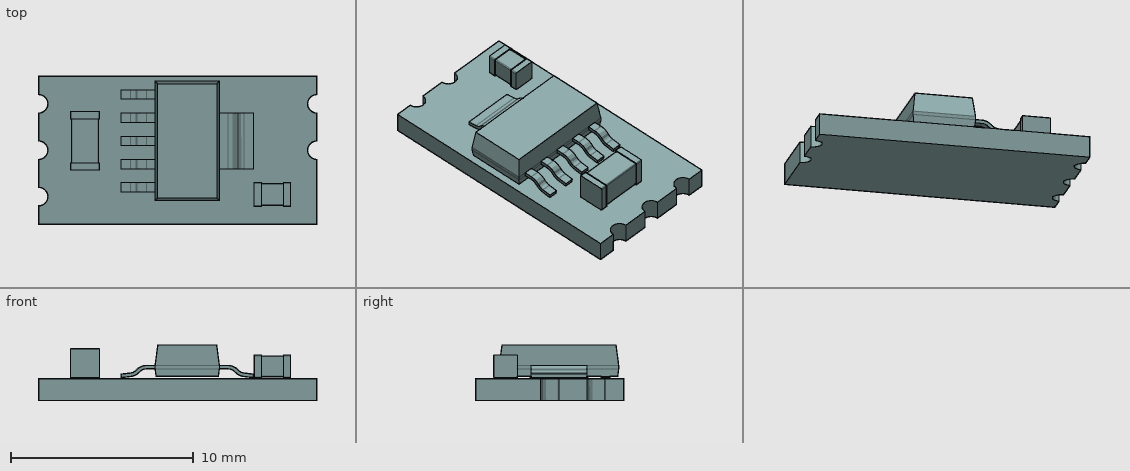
import cadquery as cq
import math

GRID = 2.54

BOARD_LENGTH = 6 * GRID
BOARD_WIDTH = 8.13
BOARD_THICKNESS = 1.2
NOTCH_RADIUS = 0.5
LEFT_NOTCH_ROWS = (-1, 0, 1)
RIGHT_NOTCH_ROWS = (0, 1)

SOLDER_GAP = 0.05
SEAT_Z = BOARD_THICKNESS + SOLDER_GAP

REGULATOR_X = 0.52
REGULATOR_Y = 0.508
REGULATOR_HEIGHT = 1.8
BODY_LENGTH_X = 3.53
BODY_LENGTH_Y = 6.55
BODY_STANDOFF = 0.08
LOWER_TAPER_HEIGHT = 0.4
TAPER_ANGLE = 7.5

LEAD_THICKNESS = 0.2
LEAD_WIDTH = 0.508
LEAD_PITCH = GRID / 2
LEAD_COUNT = 5
TAB_WIDTH = 3.05
BEND_START = 2.23
BEND_RADIUS = 0.63
BEND_ANGLE = 45
RAMP_LENGTH = 0.07
FOOT_ANGLE = 7
FOOT_LENGTH = 0.54

TERMINAL_LENGTH = 0.4
TERMINAL_STEP = 0.05
CHIP_EDGE_RADIUS = 0.05
LARGE_CHIP_LENGTH = 3.2
LARGE_CHIP_WIDTH = 1.6
LARGE_CHIP_HEIGHT = 1.6
LARGE_CHIP_X = -2 * GRID
LARGE_CHIP_Y = REGULATOR_Y
SMALL_CHIP_LENGTH = 2.0
SMALL_CHIP_WIDTH = 1.3
SMALL_CHIP_HEIGHT = 1.25
SMALL_CHIP_X = 5.19
SMALL_CHIP_Y = -2.42


def make_board():
    """Rectangular board with half-round notches along its two short edges."""
    board = cq.Workplane("XY").box(
        BOARD_LENGTH, BOARD_WIDTH, BOARD_THICKNESS, centered=(True, True, False)
    )
    edge_x = BOARD_LENGTH / 2
    notch_centers = [(-edge_x, row * GRID) for row in LEFT_NOTCH_ROWS]
    notch_centers += [(edge_x, row * GRID) for row in RIGHT_NOTCH_ROWS]
    notches = (
        cq.Workplane("XY")
        .pushPoints(notch_centers)
        .circle(NOTCH_RADIUS)
        .extrude(BOARD_THICKNESS)
    )
    return board.cut(notches)


def make_gull_wing(width):
    """Bent strip centred on Y = 0, running from the origin's Z axis towards +X, lead underside at Z = 0.

    It runs flat, curves down around the crest, drops along a short ramp, curves back around the dip and ends
    in a sloping foot.
    """
    half_thickness = LEAD_THICKNESS / 2
    outer_radius = BEND_RADIUS + half_thickness
    inner_radius = BEND_RADIUS - half_thickness
    bend = math.radians(BEND_ANGLE)
    foot = math.radians(FOOT_ANGLE)

    crest_x = BEND_START
    crest_z = half_thickness - BEND_RADIUS
    dip_x = crest_x + 2 * BEND_RADIUS * math.sin(bend) + RAMP_LENGTH * math.cos(bend)
    dip_z = crest_z + 2 * BEND_RADIUS * math.cos(bend) - RAMP_LENGTH * math.sin(bend)

    def crest_point(radius, angle):
        return (crest_x + radius * math.sin(angle), crest_z + radius * math.cos(angle))

    def dip_point(radius, angle):
        return (dip_x - radius * math.sin(angle), dip_z - radius * math.cos(angle))

    def foot_tip(radius):
        start_x, start_z = dip_point(radius, foot)
        return (start_x + FOOT_LENGTH * math.cos(foot), start_z - FOOT_LENGTH * math.sin(foot))

    mid_dip = (bend + foot) / 2
    profile = (
        cq.Workplane("XZ")
        .moveTo(0, LEAD_THICKNESS)
        .lineTo(*crest_point(outer_radius, 0))
        .threePointArc(crest_point(outer_radius, bend / 2), crest_point(outer_radius, bend))
        .lineTo(*dip_point(inner_radius, bend))
        .threePointArc(dip_point(inner_radius, mid_dip), dip_point(inner_radius, foot))
        .lineTo(*foot_tip(inner_radius))
        .lineTo(*foot_tip(outer_radius))
        .lineTo(*dip_point(outer_radius, foot))
        .threePointArc(dip_point(outer_radius, mid_dip), dip_point(outer_radius, bend))
        .lineTo(*crest_point(inner_radius, bend))
        .threePointArc(crest_point(inner_radius, bend / 2), crest_point(inner_radius, 0))
        .lineTo(0, 0)
        .close()
    )
    return profile.extrude(width / 2, both=True)


def make_regulator():
    """Moulded body with a row of leads on its -X side and a wide tab on its +X side."""
    body_bottom = SEAT_Z + BODY_STANDOFF
    band_bottom = body_bottom + LOWER_TAPER_HEIGHT
    band_top = band_bottom + LEAD_THICKNESS
    upper_taper_height = SEAT_Z + REGULATOR_HEIGHT - band_top

    band_base = cq.Workplane("XY", origin=(REGULATOR_X, REGULATOR_Y, band_bottom))
    band_crown = cq.Workplane("XY", origin=(REGULATOR_X, REGULATOR_Y, band_top))
    band = band_base.rect(BODY_LENGTH_X, BODY_LENGTH_Y).extrude(LEAD_THICKNESS)
    upper = band_crown.rect(BODY_LENGTH_X, BODY_LENGTH_Y).extrude(upper_taper_height, taper=TAPER_ANGLE)
    lower = band_base.rect(BODY_LENGTH_X, BODY_LENGTH_Y).extrude(-LOWER_TAPER_HEIGHT, taper=TAPER_ANGLE)
    regulator = band.union(upper).union(lower)

    tab = make_gull_wing(TAB_WIDTH)
    regulator = regulator.union(tab.translate((REGULATOR_X, REGULATOR_Y, band_bottom)))

    lead = make_gull_wing(LEAD_WIDTH).mirror("YZ")
    for index in range(LEAD_COUNT):
        lead_y = REGULATOR_Y + (index - (LEAD_COUNT - 1) / 2) * LEAD_PITCH
        regulator = regulator.union(lead.translate((REGULATOR_X, lead_y, band_bottom)))
    return regulator


def make_chip(length, width, height):
    """Chip lying along X, centred in X and Y, with its terminals resting on Z = 0."""

    def rounded_bar(bar_length, bar_width, bar_height):
        bar = cq.Workplane("XY").box(bar_length, bar_width, bar_height)
        return bar.edges("|X").fillet(CHIP_EDGE_RADIUS)

    chip = rounded_bar(length - TERMINAL_LENGTH, width - 2 * TERMINAL_STEP, height - 2 * TERMINAL_STEP)
    terminal_x = (length - TERMINAL_LENGTH) / 2
    for side in (-1, 1):
        terminal = rounded_bar(TERMINAL_LENGTH, width, height)
        chip = chip.union(terminal.translate((side * terminal_x, 0, 0)))
    return chip.translate((0, 0, height / 2))


def make_large_chip():
    """Larger capacitor, lying along Y."""
    chip = make_chip(LARGE_CHIP_LENGTH, LARGE_CHIP_WIDTH, LARGE_CHIP_HEIGHT)
    turned = chip.rotate((0, 0, 0), (0, 0, 1), 90)
    return turned.translate((LARGE_CHIP_X, LARGE_CHIP_Y, SEAT_Z))


def make_small_chip():
    """Smaller capacitor, lying along X."""
    chip = make_chip(SMALL_CHIP_LENGTH, SMALL_CHIP_WIDTH, SMALL_CHIP_HEIGHT)
    return chip.translate((SMALL_CHIP_X, SMALL_CHIP_Y, SEAT_Z))


board = make_board()
regulator = make_regulator()
large_chip = make_large_chip()
small_chip = make_small_chip()

result = cq.Compound.makeCompound(
    [board.val(), regulator.val(), large_chip.val(), small_chip.val()]
)